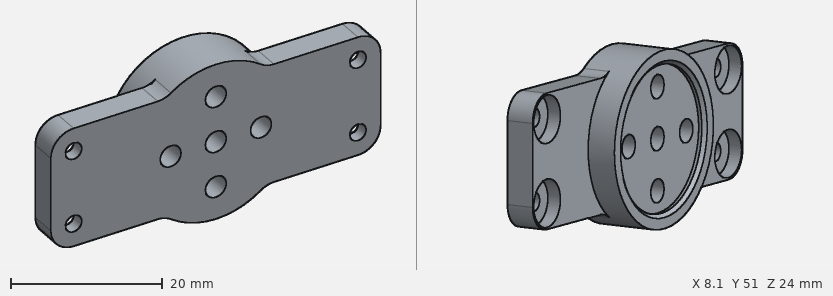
import cadquery as cq

total_depth = 8.1
plate_length = 51.0
plate_height = 18.3
plate_thickness = 4.0
corner_radius = 3.5
blend_radius = 3.5

hub_diameter = 24.0
recess_mouth_diameter = 21.0
recess_floor_diameter = 20.0
recess_depth = 1.0

hub_hole_diameter = 3.2
hub_hole_offset = 7.0
screw_hole_diameter = 2.5
counterbore_diameter = 6.5
counterbore_depth = 2.0

hub_face_x = -total_depth / 2
back_face_x = total_depth / 2
plate_face_x = back_face_x - plate_thickness
screw_y = plate_length / 2 - corner_radius
screw_z = plate_height / 2 - corner_radius


def plane_at(x):
    """Sketch plane facing +X, with local axes along Y and Z."""
    return cq.Workplane("YZ", origin=(x, 0, 0))


def cylinder(x, diameter, length, centers):
    """Cylinders along +X, starting at x."""
    return plane_at(x).pushPoints(centers).circle(diameter / 2).extrude(length)


def make_plate():
    """Rounded plate with concave blends into the round hub."""
    plate = (
        plane_at(plate_face_x)
        .rect(plate_length, plate_height)
        .extrude(plate_thickness)
        .edges("|X")
        .fillet(corner_radius)
    )
    hub_root = cylinder(plate_face_x, hub_diameter, plate_thickness, [(0, 0)])
    plate = plate.union(hub_root)
    junction_y = ((hub_diameter / 2) ** 2 - (plate_height / 2) ** 2) ** 0.5
    for side_y in (-1, 1):
        for side_z in (-1, 1):
            corner = (plate_face_x + plate_thickness / 2, side_y * junction_y, side_z * plate_height / 2)
            plate = plate.edges(cq.selectors.NearestToPointSelector(corner)).fillet(blend_radius)
    return plate


def make_recess():
    """Shallow round recess with a 45-degree chamfer around its mouth."""
    mouth_chamfer = (recess_mouth_diameter - recess_floor_diameter) / 2
    mouth = (
        plane_at(hub_face_x)
        .circle(recess_mouth_diameter / 2)
        .workplane(offset=mouth_chamfer)
        .circle(recess_floor_diameter / 2)
        .loft(ruled=True)
    )
    return cylinder(hub_face_x, recess_floor_diameter, recess_depth, [(0, 0)]).union(mouth)


hub_hole_centers = [
    (0, 0),
    (hub_hole_offset, 0),
    (-hub_hole_offset, 0),
    (0, hub_hole_offset),
    (0, -hub_hole_offset),
]
screw_centers = [(y, z) for y in (-screw_y, screw_y) for z in (-screw_z, screw_z)]

hub = cylinder(hub_face_x, hub_diameter, total_depth, [(0, 0)])
body = make_plate().union(hub).cut(make_recess())
body = body.cut(cylinder(hub_face_x, hub_hole_diameter, total_depth, hub_hole_centers))
body = body.cut(cylinder(plate_face_x, screw_hole_diameter, plate_thickness, screw_centers))
result = body.cut(cylinder(plate_face_x, counterbore_diameter, counterbore_depth, screw_centers))